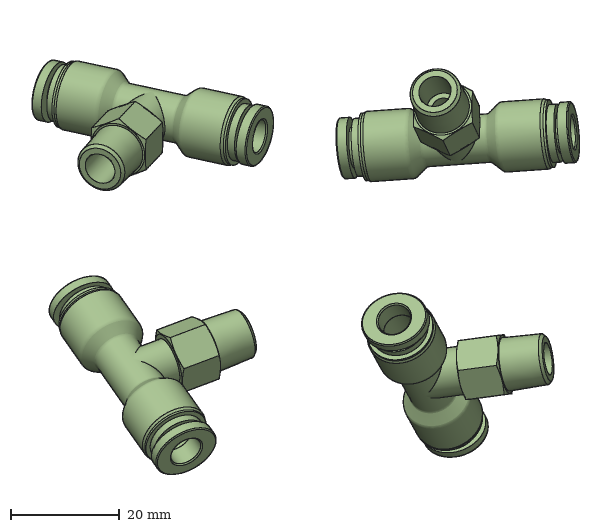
import cadquery as cq
import math

HALF_LENGTH = 21.7
HEX_START = 7.45
HEX_LENGTH = 8.0
THREAD_LENGTH = 8.05

NECK_DIAMETER = 9.0
SOCKET_DIAMETER = 13.0
RIM_DIAMETER = 12.55
RUN_BORE = 5.0
SOCKET_BORE = 6.2
BRANCH_BORE = 4.0
SHOULDER_ANGLE = 40.5
SHOULDER_FILLET = 1.0
SHOULDER_ROOT_FILLET = 0.7
RIM_WIDTH = 0.45
MOUTH_CHAMFER_LENGTH = 0.5
SOCKET_SHOULDER_X = 8.4

FLANGE_WIDTH = 12.5
FLANGE_HEIGHT = 11.05
FLANGE_THICKNESS = 2.0
FLANGE_CHAMFER = 0.2
WAIST_DIAMETER = 7.5
WAIST_LENGTH = 0.75
COLLAR_DIAMETER = 10.75
COLLAR_LENGTH = 1.45
SLEEVE_BORE = 6.15
SLEEVE_BORE_CHAMFER = 0.25

HEX_ACROSS_FLATS = 11.0
HEX_CHAMFER_DIAMETER = 10.75
HEX_CHAMFER_ANGLE = 20.0
THREAD_ROOT_DIAMETER = 10.0
THREAD_TIP_DIAMETER = 9.5
THREAD_TIP_CHAMFER = 0.55
STUD_COUNTERBORE = 6.0

SELECTION_MARGIN = 0.05

FLANGE_INNER_X = HALF_LENGTH - FLANGE_THICKNESS
COLLAR_OUTER_X = FLANGE_INNER_X - WAIST_LENGTH
RIM_END_X = COLLAR_OUTER_X - COLLAR_LENGTH
RIM_START_X = RIM_END_X - RIM_WIDTH
MOUTH_X = RIM_START_X - MOUTH_CHAMFER_LENGTH
HEX_END = HEX_START + HEX_LENGTH
STUD_TIP = HEX_END + THREAD_LENGTH


def cylinder_x(diameter, start, end):
    """Cylinder on the run axis between two X positions."""
    return cq.Workplane("YZ", origin=(start, 0, 0)).circle(diameter / 2).extrude(end - start)


def branch_cylinder(diameter, start, end):
    """Cylinder on the branch axis between two distances from the run axis, towards -Y."""
    return cq.Workplane("XZ", origin=(0, -start, 0)).circle(diameter / 2).extrude(end - start)


def circles_at(x, radius):
    """Selector for the two circular edges around the run axis at +x and -x."""
    reach = radius + SELECTION_MARGIN
    right, left = (
        cq.selectors.BoxSelector(
            (centre - SELECTION_MARGIN, -reach, -reach),
            (centre + SELECTION_MARGIN, reach, reach),
            boundingbox=True,
        )
        for centre in (x, -x)
    )
    return right + left


def run_outside():
    """Outside of the tee's run: neck, then a sloping shoulder, socket and rim at each end."""
    neck_r = NECK_DIAMETER / 2
    socket_r = SOCKET_DIAMETER / 2
    rim_r = RIM_DIAMETER / 2
    slope_length = (socket_r - neck_r) / math.tan(math.radians(SHOULDER_ANGLE))
    neck_end_x = SOCKET_SHOULDER_X - slope_length
    right_profile = [
        (neck_end_x, neck_r),
        (SOCKET_SHOULDER_X, socket_r),
        (MOUTH_X, socket_r),
        (RIM_START_X, rim_r),
        (RIM_END_X, rim_r),
        (RIM_END_X, 0),
    ]
    left_profile = [(-x, r) for x, r in reversed(right_profile)]
    run = (
        cq.Workplane("XY")
        .polyline(left_profile + right_profile)
        .close()
        .revolve(360, (0, 0, 0), (1, 0, 0))
    )
    shoulder_edges = circles_at(SOCKET_SHOULDER_X, socket_r)
    run = run.edges(shoulder_edges).fillet(SHOULDER_FILLET)
    root_edges = circles_at(neck_end_x, neck_r)
    return run.edges(root_edges).fillet(SHOULDER_ROOT_FILLET)


def make_tee():
    """Tee body with a through run bore, a branch bore and a wider hose socket at each end."""
    tee = run_outside().union(branch_cylinder(NECK_DIAMETER, 0, HEX_START))
    tee = tee.cut(cylinder_x(RUN_BORE, -RIM_END_X, RIM_END_X))
    tee = tee.cut(branch_cylinder(BRANCH_BORE, 0, HEX_START))
    for side in (-1, 1):
        tee = tee.cut(cylinder_x(SOCKET_BORE, side * SOCKET_SHOULDER_X, side * RIM_END_X))
    return tee


def make_sleeve(side):
    """Release sleeve for one end of the run: oval flange, waist and a collar seated on the rim."""
    flange = (
        cq.Workplane("YZ", origin=(FLANGE_INNER_X, 0, 0))
        .ellipse(FLANGE_WIDTH / 2, FLANGE_HEIGHT / 2)
        .extrude(FLANGE_THICKNESS)
        .faces(">X")
        .chamfer(FLANGE_CHAMFER)
    )
    waist = cylinder_x(WAIST_DIAMETER, COLLAR_OUTER_X, FLANGE_INNER_X)
    collar = cylinder_x(COLLAR_DIAMETER, RIM_END_X, COLLAR_OUTER_X)
    bore = cylinder_x(SLEEVE_BORE, RIM_END_X, HALF_LENGTH)
    sleeve = flange.union(waist).union(collar).cut(bore)
    sleeve = sleeve.faces(">X").edges("%CIRCLE").chamfer(SLEEVE_BORE_CHAMFER)
    if side < 0:
        sleeve = sleeve.rotate((0, 0, 0), (0, 0, 1), 180)
    return sleeve


def hex_chamfer_envelope(corner_diameter):
    """Turned blank that bevels the corners at both ends of the hexagon."""
    corner_r = corner_diameter / 2
    face_r = HEX_CHAMFER_DIAMETER / 2
    bevel = (corner_r - face_r) * math.tan(math.radians(HEX_CHAMFER_ANGLE))
    return (
        cq.Workplane("XY")
        .polyline([
            (0, -HEX_START),
            (face_r, -HEX_START),
            (corner_r, -HEX_START - bevel),
            (corner_r, -HEX_END + bevel),
            (face_r, -HEX_END),
            (0, -HEX_END),
        ])
        .close()
        .revolve(360, (0, 0, 0), (0, 1, 0))
    )


def make_stud():
    """Threaded stud: hexagon with corners at +Z and -Z, then a tapered end with a stepped bore."""
    corner_diameter = HEX_ACROSS_FLATS / math.cos(math.radians(30))
    hexagon = (
        cq.Workplane("XZ", origin=(0, -HEX_START, 0))
        .transformed(rotate=(0, 0, 90))
        .polygon(6, corner_diameter)
        .extrude(HEX_LENGTH)
        .intersect(hex_chamfer_envelope(corner_diameter))
    )
    root_r = THREAD_ROOT_DIAMETER / 2
    tip_r = THREAD_TIP_DIAMETER / 2
    taper = (
        cq.Workplane("XY")
        .polyline([
            (0, -HEX_END),
            (root_r, -HEX_END),
            (tip_r, -STUD_TIP + THREAD_TIP_CHAMFER),
            (tip_r - THREAD_TIP_CHAMFER, -STUD_TIP),
            (0, -STUD_TIP),
        ])
        .close()
        .revolve(360, (0, 0, 0), (0, 1, 0))
    )
    stud = hexagon.union(taper)
    stud = stud.cut(branch_cylinder(BRANCH_BORE, HEX_START, STUD_TIP))
    return stud.cut(branch_cylinder(STUD_COUNTERBORE, HEX_END, STUD_TIP))


tee = make_tee()
sleeves = [make_sleeve(side) for side in (-1, 1)]
stud = make_stud()

result = cq.Compound.makeCompound([tee.val(), *[sleeve.val() for sleeve in sleeves], stud.val()])